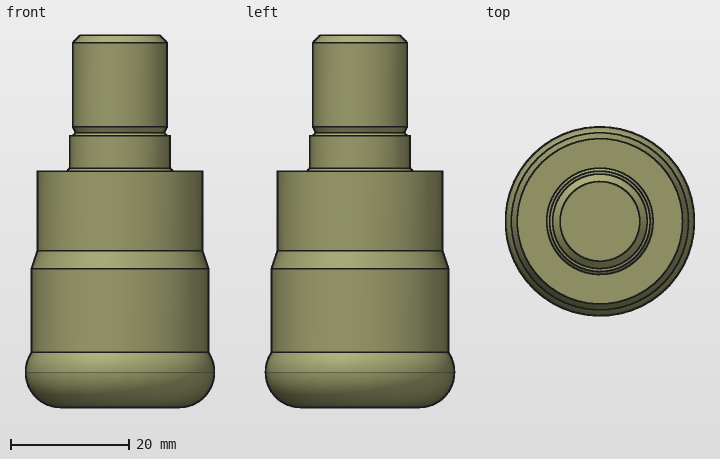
import cadquery as cq
import math

total_height = 63.0

foot_radius = 16.0
foot_round = 6.0

barrel_radius = 15.0
shoulder_bottom = 23.5
shoulder_top = 26.5
neck_radius = 14.0
neck_top = 40.0

collar_radius = 8.5
collar_top = 46.0
base_flare = 0.5
shank_radius = 8.0
shank_bottom = 47.5
undercut_depth = 0.5
tip_chamfer = 1.25

foot_center_radius = foot_radius - foot_round
bulge_rise = math.sqrt(foot_round**2 - (barrel_radius - foot_center_radius)**2)
bulge_top = foot_round + bulge_rise
quarter_round = foot_round * math.sqrt(0.5)
half_bulge_angle = math.asin(bulge_rise / foot_round) / 2


def make_foot():
    """Revolved foot with its flat face on Z = 0, ending where the bulge meets the barrel."""
    lower_arc_middle = (foot_center_radius + quarter_round, foot_round - quarter_round)
    upper_arc_middle = (
        foot_center_radius + foot_round * math.cos(half_bulge_angle),
        foot_round + foot_round * math.sin(half_bulge_angle),
    )
    profile = (
        cq.Workplane("XZ")
        .lineTo(foot_center_radius, 0)
        .threePointArc(lower_arc_middle, (foot_radius, foot_round))
        .threePointArc(upper_arc_middle, (barrel_radius, bulge_top))
        .lineTo(0, bulge_top)
        .close()
    )
    return profile.revolve(360, (0, 0, 0), (0, 1, 0))


def make_stud():
    """Revolved stud: barrel, shoulder, neck, collar, undercut and shank in one piece."""
    root_radius = shank_radius - undercut_depth
    profile = (
        cq.Workplane("XZ")
        .moveTo(0, bulge_top)
        .lineTo(barrel_radius, bulge_top)
        .lineTo(barrel_radius, shoulder_bottom)
        .lineTo(neck_radius, shoulder_top)
        .lineTo(neck_radius, neck_top)
        .lineTo(collar_radius + base_flare, neck_top)
        .lineTo(collar_radius, neck_top + base_flare)
        .lineTo(collar_radius, collar_top)
        .lineTo(shank_radius, collar_top)
        .lineTo(root_radius, collar_top + undercut_depth)
        .lineTo(shank_radius, shank_bottom)
        .lineTo(shank_radius, total_height - tip_chamfer)
        .lineTo(shank_radius - tip_chamfer, total_height)
        .lineTo(0, total_height)
        .close()
    )
    return profile.revolve(360, (0, 0, 0), (0, 1, 0))


foot = make_foot()
stud = make_stud()

result = cq.Compound.makeCompound([foot.val(), stud.val()])